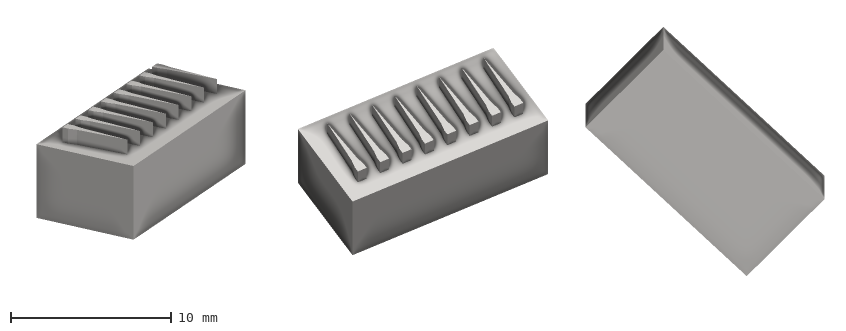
import cadquery as cq

body_length_x = 7.0
body_length_y = 14.0
total_height = 6.0
fin_height = 1.01
body_height = total_height - fin_height

fin_count = 8
row_span = 11.2
fin_pitch = row_span / (fin_count - 1)
fin_length = 4.5
head_width = 0.63
head_length = 0.4
shoulder_width = 0.4
shoulder_length = 0.59

body = cq.Workplane("XY").box(body_length_x, body_length_y, body_height, centered=(True, True, False))


def make_fin(center_y):
    """Upright fin with a blunt -X end, tapering to a sharp +X tip."""
    blunt_x = -fin_length / 2
    head_x = blunt_x + head_length
    shoulder_x = head_x + shoulder_length
    outline = [
        (blunt_x, -head_width / 2),
        (head_x, -head_width / 2),
        (shoulder_x, -shoulder_width / 2),
        (fin_length / 2, 0),
        (shoulder_x, shoulder_width / 2),
        (head_x, head_width / 2),
        (blunt_x, head_width / 2),
    ]
    return (
        cq.Workplane("XY", origin=(0, center_y, body_height))
        .polyline(outline)
        .close()
        .extrude(fin_height)
    )


result = body
for index in range(fin_count):
    fin_y = (index - (fin_count - 1) / 2) * fin_pitch
    result = result.union(make_fin(fin_y))